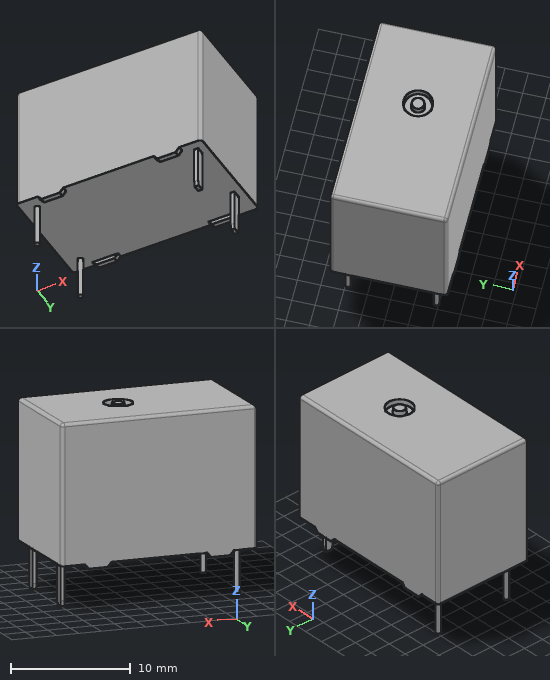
import cadquery as cq

length = 17.6
width = 10.1
total_height = 16.3
lead_length = 4.0
housing_height = total_height - lead_length
edge_radius = 0.3

well_x = 1.7
well_top_diameter = 2.5
well_floor_diameter = 2.35
well_depth = 0.5
post_top_diameter = 1.05
post_base_diameter = 1.2

foot_x = 5.5
foot_top_length = 2.43
foot_bottom_length = 1.72
foot_height = 0.4
foot_thickness = 0.5

lead_row_y = 3.8
pin_x = -7.43
pin_diameter = 0.5
blade_x = 7.85
inner_blade_y = 2.55
blade_thickness = 0.37
blade_width = 0.8
blade_tip_width = 0.62
blade_tip_height = 0.51


def make_housing():
    box = cq.Workplane("XY").box(length, width, housing_height, centered=(True, True, False))
    return box.edges("|Z or >Z").fillet(edge_radius)


def make_cone(floor_diameter, top_diameter):
    """Tapered round body from the well floor up to the top face."""
    return (
        cq.Workplane("XY", origin=(well_x, 0, housing_height - well_depth))
        .circle(floor_diameter / 2)
        .workplane(offset=well_depth)
        .circle(top_diameter / 2)
        .loft(ruled=True)
    )


def make_foot(x, y):
    """Trapezoidal foot centred at (x, y) under the housing."""
    half_top = foot_top_length / 2
    half_bottom = foot_bottom_length / 2
    outline = [
        (-half_top, 0),
        (half_top, 0),
        (half_bottom, -foot_height),
        (-half_bottom, -foot_height),
    ]
    profile = cq.Workplane("XZ", origin=(x, y, 0)).polyline(outline).close()
    return profile.extrude(foot_thickness / 2, both=True)


def make_pin(y):
    """Round lead hanging from the underside."""
    return cq.Workplane("XY", origin=(pin_x, y, 0)).circle(pin_diameter / 2).extrude(-lead_length)


def make_blade(y):
    """Flat lead whose width narrows toward the tip."""
    half_width = blade_width / 2
    half_tip = blade_tip_width / 2
    shoulder_z = blade_tip_height - lead_length
    outline = [
        (-half_width, 0),
        (half_width, 0),
        (half_width, shoulder_z),
        (half_tip, -lead_length),
        (-half_tip, -lead_length),
        (-half_width, shoulder_z),
    ]
    profile = cq.Workplane("YZ", origin=(blade_x, y, 0)).polyline(outline).close()
    return profile.extrude(blade_thickness / 2, both=True)


well = make_cone(well_floor_diameter, well_top_diameter)
post = make_cone(post_base_diameter, post_top_diameter)
result = make_housing().cut(well.cut(post))

foot_y = (width - foot_thickness) / 2
for x in (-foot_x, foot_x):
    for y in (-foot_y, foot_y):
        result = result.union(make_foot(x, y))

for y in (-lead_row_y, lead_row_y):
    result = result.union(make_pin(y))

for y in (-lead_row_y, inner_blade_y):
    result = result.union(make_blade(y))